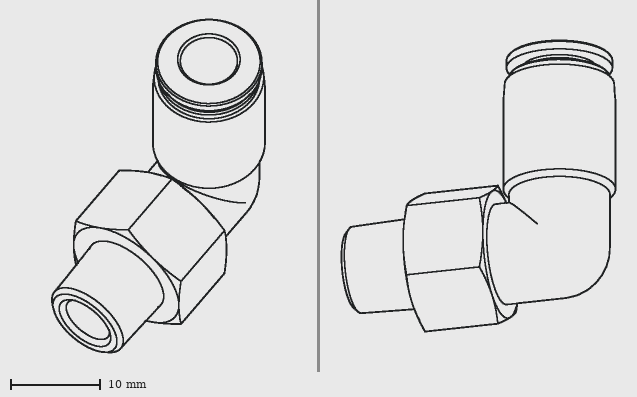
import cadquery as cq
import math


elbow_dia = 11.25
passage_dia = 4.0

body_dia = 12.5
body_shoulder_z = 6.35
body_start_z = 7.0
body_taper_z = 17.5
body_end_z = 19.55
body_end_dia = 12.2
sleeve_dia = 11.3
sleeve_top_z = 20.5
sleeve_chamfer = 0.22

neck_dia = 7.75
neck_flare = 0.25
collar_dia = 11.8
collar_bottom_z = 21.45
collar_rim_z = 22.35
collar_crown_z = 22.55
collar_crown_dia = 11.4
collar_top_z = 23.0

tube_dia = 6.35
tube_mouth_dia = 6.95
tube_mouth_depth = (tube_mouth_dia - tube_dia) / 2
tube_stop_z = body_start_z

hex_flats = 14.2875
hex_corners = hex_flats / math.cos(math.pi / 6)
hex_start = 6.75
hex_end = 16.0
hex_chamfer_angle = 20

thread_end = 24.0
thread_taper = 1 / 16
thread_chamfer = 0.5
thread_tip_dia = 9.7
thread_bore_dia = 5.88
thread_mouth_dia = 7.0
thread_bore_end = hex_end


def revolve_upright(profile):
    """Turn (diameter, height) pairs into a solid around the Z axis."""
    points = [(diameter / 2, height) for diameter, height in profile]
    return cq.Workplane("XZ").polyline(points).close().revolve(360, (0, 0), (0, 1))


def lay_along_thread(solid):
    """Swing a solid built along +Z so that it points along -Y."""
    return solid.rotate((0, 0, 0), (1, 0, 0), 90)


def bent_rod(diameter, upright_length, thread_length):
    """Two round legs joined at the origin by a ball of the same diameter."""
    upright = cq.Workplane("XY").circle(diameter / 2).extrude(upright_length)
    level = cq.Workplane("XY").circle(diameter / 2).extrude(thread_length)
    ball = cq.Workplane("XY").sphere(diameter / 2)
    return upright.union(lay_along_thread(level)).union(ball)


def tube_socket():
    """Socket body with its tapered end, end sleeve and release collar."""
    return revolve_upright([
        (0, body_shoulder_z),
        (elbow_dia, body_shoulder_z),
        (body_dia, body_start_z),
        (body_dia, body_taper_z),
        (body_end_dia, body_end_z),
        (sleeve_dia, body_end_z),
        (sleeve_dia, sleeve_top_z - sleeve_chamfer),
        (sleeve_dia - 2 * sleeve_chamfer, sleeve_top_z),
        (neck_dia, sleeve_top_z),
        (neck_dia, collar_bottom_z - neck_flare),
        (neck_dia + 2 * neck_flare, collar_bottom_z),
        (collar_dia, collar_bottom_z),
        (collar_dia, collar_rim_z),
        (collar_crown_dia, collar_crown_z),
        (tube_mouth_dia, collar_top_z),
        (0, collar_top_z),
    ])


def tube_bore():
    """Bore for the tube, with a countersunk mouth."""
    return revolve_upright([
        (0, tube_stop_z),
        (tube_dia, tube_stop_z),
        (tube_dia, collar_top_z - tube_mouth_depth),
        (tube_mouth_dia, collar_top_z),
        (0, collar_top_z),
    ])


def hexagon():
    """Hexagon with corners up and down, both ends chamfered down to the flats."""
    chamfer_height = (hex_corners - hex_flats) / 2 * math.tan(math.radians(hex_chamfer_angle))
    prism = (
        cq.Workplane("XY")
        .workplane(offset=hex_start)
        .polygon(6, hex_corners)
        .extrude(hex_end - hex_start)
        .rotate((0, 0, 0), (0, 0, 1), 90)
    )
    envelope = revolve_upright([
        (0, hex_start),
        (hex_flats, hex_start),
        (hex_corners, hex_start + chamfer_height),
        (hex_corners, hex_end - chamfer_height),
        (hex_flats, hex_end),
        (0, hex_end),
    ])
    return lay_along_thread(prism.intersect(envelope))


def thread():
    """Tapered thread blank with a chamfered tip."""
    chamfer_start = thread_end - thread_chamfer
    root_dia = thread_tip_dia + thread_taper * (chamfer_start - hex_end)
    blank = revolve_upright([
        (0, hex_end),
        (root_dia, hex_end),
        (thread_tip_dia, chamfer_start),
        (thread_tip_dia - 2 * thread_chamfer, thread_end),
        (0, thread_end),
    ])
    return lay_along_thread(blank)


def thread_bore():
    """Bore in the threaded end, with a countersunk mouth."""
    mouth_depth = (thread_mouth_dia - thread_bore_dia) / 2
    bore = revolve_upright([
        (0, thread_bore_end),
        (thread_bore_dia, thread_bore_end),
        (thread_bore_dia, thread_end - mouth_depth),
        (thread_mouth_dia, thread_end),
        (0, thread_end),
    ])
    return lay_along_thread(bore)


outside = (
    bent_rod(elbow_dia, body_start_z, hex_end)
    .union(tube_socket())
    .union(hexagon())
    .union(thread())
)
passage = bent_rod(passage_dia, collar_top_z, thread_end)
result = outside.cut(passage).cut(tube_bore()).cut(thread_bore())